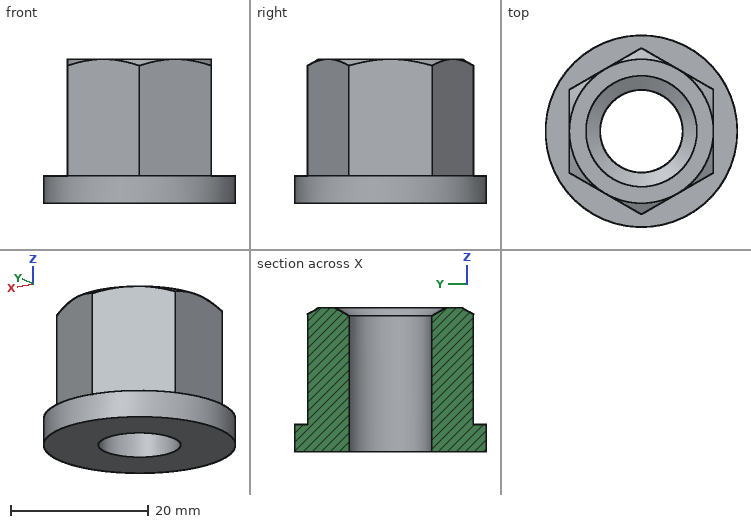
import cadquery as cq
import math

flange_diameter = 28.0
flange_thickness = 4.0
total_height = 21.0
across_flats = 21.0
bore_diameter = 12.0
countersink_diameter = 16.18
slope_angle = 30.0

slope = math.tan(math.radians(slope_angle))
across_corners = across_flats / math.cos(math.radians(30))
corner_drop = (across_corners - across_flats) / 2 * slope
countersink_depth = (countersink_diameter - bore_diameter) / 2 * slope


def hex_body():
    """Hexagonal prism with corners on the Y axis and a conical top chamfer."""
    prism = (
        cq.Workplane("XY")
        .polygon(6, across_corners)
        .extrude(total_height)
        .rotate((0, 0, 0), (0, 0, 1), 90)
    )
    chamfer_envelope = (
        cq.Workplane("XZ")
        .moveTo(0, 0)
        .lineTo(across_corners / 2, 0)
        .lineTo(across_corners / 2, total_height - corner_drop)
        .lineTo(across_flats / 2, total_height)
        .lineTo(0, total_height)
        .close()
        .revolve(360, (0, 0, 0), (0, 1, 0))
    )
    return prism.intersect(chamfer_envelope)


def countersunk_bore():
    """Through bore widened by a conical seat at the top."""
    return (
        cq.Workplane("XZ")
        .moveTo(0, 0)
        .lineTo(bore_diameter / 2, 0)
        .lineTo(bore_diameter / 2, total_height - countersink_depth)
        .lineTo(countersink_diameter / 2, total_height)
        .lineTo(0, total_height)
        .close()
        .revolve(360, (0, 0, 0), (0, 1, 0))
    )


flange = cq.Workplane("XY").circle(flange_diameter / 2).extrude(flange_thickness)
result = flange.union(hex_body()).cut(countersunk_bore())